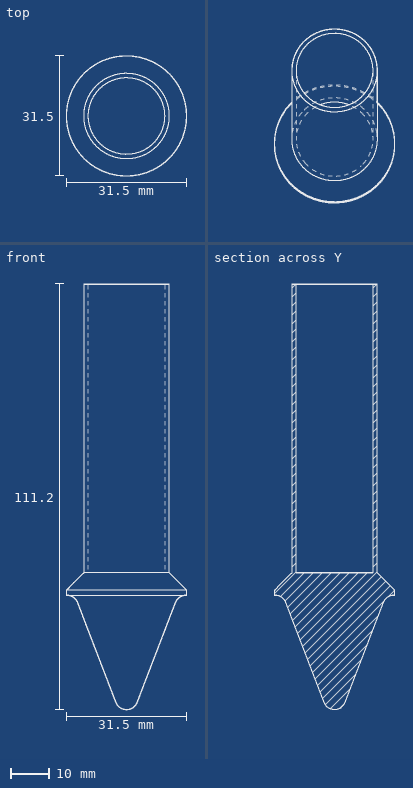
import cadquery as cq
import math

total_height = 111.2
tube_diameter = 22.4
bore_diameter = 20.0
collar_diameter = 31.5
collar_bottom_z = 29.9
collar_rim_height = 1.3
tip_radius = 3.0
fillet_radius = 3.0
spike_half_angle = math.radians(21.0)

tube_radius = tube_diameter / 2
collar_radius = collar_diameter / 2

rim_top_z = collar_bottom_z + collar_rim_height
tube_bottom_z = rim_top_z + collar_radius - tube_radius


def round_point(centre_r, centre_z, radius, angle):
    """Point on a circle in the radial half-plane, angle measured from +R."""
    return (centre_r + radius * math.cos(angle), centre_z + radius * math.sin(angle))


def solid_body():
    """Revolve the rounded spike, collar and tube as one solid."""
    tip_mid_angle = -(math.pi / 2 + spike_half_angle) / 2
    tip_mid = round_point(0, tip_radius, tip_radius, tip_mid_angle)
    tip_end = round_point(0, tip_radius, tip_radius, -spike_half_angle)

    fillet_centre_z = collar_bottom_z - fillet_radius
    spike_top_z = fillet_centre_z + fillet_radius * math.sin(spike_half_angle)
    spike_top_r = tip_end[0] + (spike_top_z - tip_end[1]) * math.tan(spike_half_angle)
    fillet_centre_r = spike_top_r + fillet_radius * math.cos(spike_half_angle)
    fillet_mid_angle = tip_mid_angle + math.pi
    fillet_mid = round_point(fillet_centre_r, fillet_centre_z, fillet_radius, fillet_mid_angle)

    profile = (
        cq.Workplane("XZ")
        .moveTo(0, 0)
        .threePointArc(tip_mid, tip_end)
        .lineTo(spike_top_r, spike_top_z)
        .threePointArc(fillet_mid, (fillet_centre_r, collar_bottom_z))
        .lineTo(collar_radius, collar_bottom_z)
        .lineTo(collar_radius, rim_top_z)
        .lineTo(tube_radius, tube_bottom_z)
        .lineTo(tube_radius, total_height)
        .lineTo(0, total_height)
        .close()
    )
    return profile.revolve(360, (0, 0, 0), (0, 1, 0))


def bore():
    """Blind bore, open at the top and flat at the foot of the tube."""
    depth = total_height - tube_bottom_z
    return cq.Workplane("XY").workplane(offset=tube_bottom_z).circle(bore_diameter / 2).extrude(depth)


result = solid_body().cut(bore())